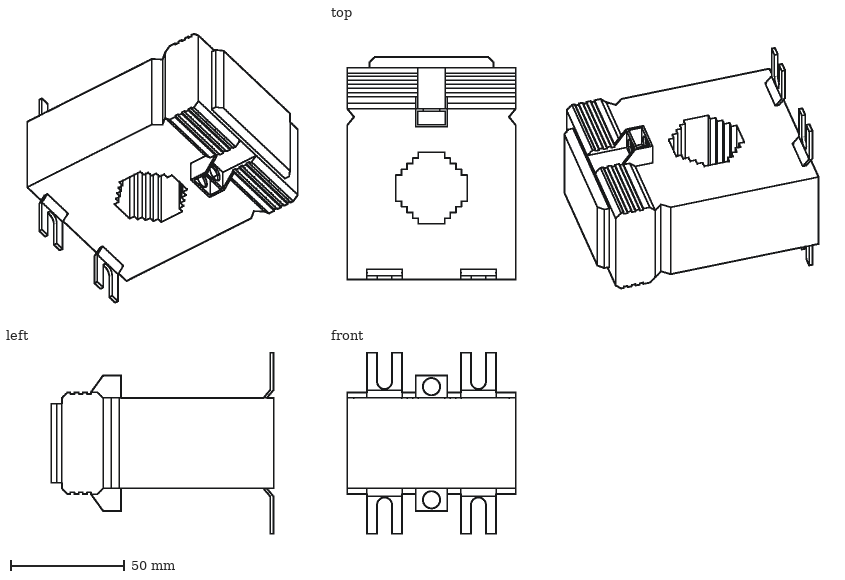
import cadquery as cq

WIDTH = 74.5
TOTAL_DEPTH = 98.5
TOTAL_HEIGHT = 80.0
EDGE_CHAMFER = 2.5

BODY_HEIGHT = 40.0
BODY_TOP = BODY_HEIGHT / 2

CAP_HEIGHT = 45.0
CAP_TOP = CAP_HEIGHT / 2
CAP_DEPTH = 18.25
CAP_FRONT = 75.5
CAP_BACK = CAP_FRONT + CAP_DEPTH
GROOVE_COUNT = 3
GROOVE_WIDTH = 1.7
GROOVE_PITCH = 3.65
GROOVE_DEPTH = 0.75
FIRST_GROOVE_FRONT = 80.9

PLATE_WIDTH = 55.0
PLATE_HEIGHT = 35.0

NOTCH_DEPTH = 3.0
NOTCH_LENGTH = 7.2

WINDOW_CENTRE_Y = 40.5
WINDOW_HALF = 15.75
WINDOW_STEP = 2.5
WINDOW_STEP_COUNT = 4

LUG_WALL = 1.0
LUG_WIDTH = 14.0
LUG_DEPTH = 8.0
LUG_TOP = 30.0
LUG_FRONT = CAP_FRONT - LUG_DEPTH
LUG_SLOPE_BACK = FIRST_GROOVE_FRONT
POCKET_WIDTH = LUG_WIDTH - 2 * LUG_WALL
POCKET_DEPTH = LUG_DEPTH - 2 * LUG_WALL
SCREW_DIAMETER = 7.5
SCREW_Z = (BODY_TOP + LUG_TOP) / 2

TERMINAL_WIDTH = 15.5
TERMINAL_OFFSET_X = 20.75
TERMINAL_THICKNESS = 1.6
TERMINAL_FRONT = 0.15
TERMINAL_BACK = TERMINAL_FRONT + TERMINAL_THICKNESS
TERMINAL_TOP = TOTAL_HEIGHT / 2
TERMINAL_BEND_Z = 23.5
TERMINAL_FOOT_SHIFT = 2.95
FORK_SLOT_WIDTH = 6.5
FORK_SLOT_BOTTOM = 24.0


def box(width, y_front, y_back, z_bottom, z_top):
    """Box centred on X = 0 between the given Y and Z limits."""
    return cq.Workplane("XY").box(
        width, y_back - y_front, z_top - z_bottom, centered=(True, False, False)
    ).translate((0, y_front, z_bottom))


def extrude_side_profile(points, width):
    """Closed (Y, Z) outline extruded symmetrically about X = 0."""
    return cq.Workplane("YZ").polyline(points).close().extrude(width / 2, both=True)


def with_mirror(solid):
    """The solid together with its copy below the mid plane."""
    return solid.union(solid.mirror("XY"))


def make_body():
    body = box(WIDTH, 0, CAP_FRONT, -BODY_TOP, BODY_TOP)
    notch_front = CAP_FRONT - NOTCH_LENGTH
    notch_middle = CAP_FRONT - NOTCH_LENGTH / 2
    for side in (-1, 1):
        edge = side * WIDTH / 2
        tip = edge - side * NOTCH_DEPTH
        notch = (
            cq.Workplane("XY", origin=(0, 0, -BODY_TOP))
            .polyline([(edge, notch_front), (tip, notch_middle), (edge, CAP_FRONT)])
            .close()
            .extrude(BODY_HEIGHT)
        )
        body = body.cut(notch)
    return body


def make_window():
    """Union of crossed bars whose corners form the staircase outline."""
    window = cq.Workplane("XY")
    for step in range(WINDOW_STEP_COUNT + 1):
        half_x = WINDOW_HALF - step * WINDOW_STEP
        half_y = WINDOW_HALF - (WINDOW_STEP_COUNT - step) * WINDOW_STEP
        bar = cq.Workplane("XY").box(2 * half_x, 2 * half_y, BODY_HEIGHT)
        window = window.add(bar)
    window = window.combine()
    return window.translate((0, WINDOW_CENTRE_Y, 0))


def make_cap():
    cap = box(WIDTH, CAP_FRONT, CAP_BACK, -CAP_TOP, CAP_TOP).edges("|X").chamfer(EDGE_CHAMFER)
    for index in range(GROOVE_COUNT):
        groove_front = FIRST_GROOVE_FRONT + index * GROOVE_PITCH
        groove = box(WIDTH, groove_front, groove_front + GROOVE_WIDTH, CAP_TOP - GROOVE_DEPTH, CAP_TOP)
        cap = cap.cut(with_mirror(groove))
    return cap


def make_plate():
    plate = box(PLATE_WIDTH, CAP_BACK, TOTAL_DEPTH, -PLATE_HEIGHT / 2, PLATE_HEIGHT / 2)
    return plate.edges(">Y and |Z").chamfer(EDGE_CHAMFER)


def make_lug():
    """Upper lug blank, sloping down at the back onto the cap."""
    return extrude_side_profile(
        [
            (LUG_FRONT, BODY_TOP),
            (LUG_FRONT, LUG_TOP),
            (CAP_FRONT, LUG_TOP),
            (LUG_SLOPE_BACK, CAP_TOP),
            (LUG_SLOPE_BACK, BODY_TOP),
        ],
        LUG_WIDTH,
    )


def make_lug_cuts():
    """Open pocket, screw hole and the screwdriver channel through the cap."""
    pocket_front = LUG_FRONT + LUG_WALL
    pocket = box(POCKET_WIDTH, pocket_front, pocket_front + POCKET_DEPTH, BODY_TOP, LUG_TOP)
    channel = box(POCKET_WIDTH, CAP_FRONT, CAP_BACK, BODY_TOP, LUG_TOP)
    screw_hole = (
        cq.Workplane("XZ", origin=(0, LUG_FRONT, SCREW_Z))
        .circle(SCREW_DIAMETER / 2)
        .extrude(-LUG_DEPTH)
    )
    return pocket.union(channel).union(screw_hole)


def make_terminal():
    """Upper terminal on X = 0: bent strip with a round-bottomed open slot."""
    strip = extrude_side_profile(
        [
            (TERMINAL_FRONT, TERMINAL_TOP),
            (TERMINAL_FRONT, TERMINAL_BEND_Z),
            (TERMINAL_FRONT + TERMINAL_FOOT_SHIFT, BODY_TOP),
            (TERMINAL_BACK + TERMINAL_FOOT_SHIFT, BODY_TOP),
            (TERMINAL_BACK, TERMINAL_BEND_Z),
            (TERMINAL_BACK, TERMINAL_TOP),
        ],
        TERMINAL_WIDTH,
    )
    slot_radius = FORK_SLOT_WIDTH / 2
    arc_z = FORK_SLOT_BOTTOM + slot_radius
    slot = (
        cq.Workplane("XZ", origin=(0, TERMINAL_FRONT, 0))
        .moveTo(-slot_radius, TERMINAL_TOP)
        .lineTo(-slot_radius, arc_z)
        .threePointArc((0, FORK_SLOT_BOTTOM), (slot_radius, arc_z))
        .lineTo(slot_radius, TERMINAL_TOP)
        .close()
        .extrude(-TERMINAL_THICKNESS)
    )
    return strip.cut(slot)


result = make_body().cut(make_window())
result = result.union(make_cap()).union(make_plate())
result = result.union(with_mirror(make_lug())).cut(with_mirror(make_lug_cuts()))
for terminal_x in (-TERMINAL_OFFSET_X, TERMINAL_OFFSET_X):
    result = result.union(with_mirror(make_terminal().translate((terminal_x, 0, 0))))